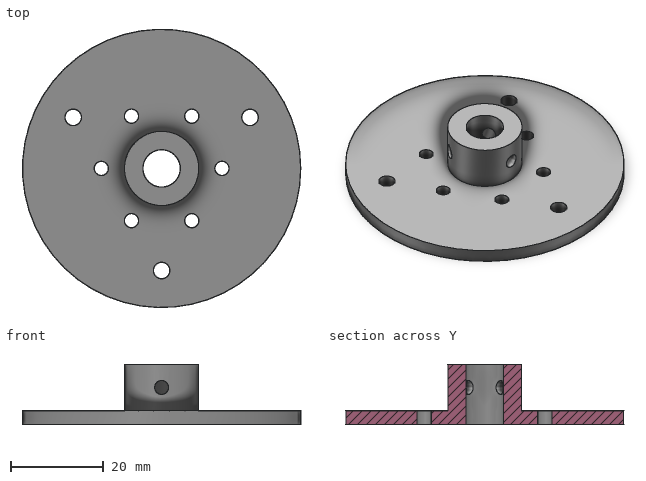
import cadquery as cq

disc_diameter = 60.0
disc_thickness = 3.0

hub_diameter = 16.0
hub_height = 10.0
bore_diameter = 8.0

inner_hole_count = 6
inner_hole_diameter = 3.0
inner_ring_radius = 13.0

outer_hole_count = 3
outer_hole_diameter = 3.5
outer_ring_radius = 22.0
outer_start_angle = 30.0

screw_hole_count = 3
screw_hole_diameter = 3.0
screw_start_angle = 30.0
screw_hole_z = disc_thickness + hub_height / 2


def make_body():
    """Disc and hub, before any holes."""
    disc = cq.Workplane("XY").circle(disc_diameter / 2).extrude(disc_thickness)
    hub = cq.Workplane("XY").circle(hub_diameter / 2).extrude(disc_thickness + hub_height)
    return disc.union(hub)


def make_bore():
    """Cutter for the bore through hub and disc."""
    return cq.Workplane("XY").circle(bore_diameter / 2).extrude(disc_thickness + hub_height)


def make_hole_ring(ring_radius, hole_diameter, hole_count, start_angle):
    """Cutters for evenly spaced holes through the disc."""
    return (
        cq.Workplane("XY")
        .polarArray(ring_radius, start_angle, 360, hole_count)
        .circle(hole_diameter / 2)
        .extrude(disc_thickness)
    )


def make_screw_hole(angle):
    """Cutter running radially outward from the hub axis at the given angle."""
    return (
        cq.Workplane("YZ")
        .center(0, screw_hole_z)
        .circle(screw_hole_diameter / 2)
        .extrude(hub_diameter / 2)
        .rotate((0, 0, 0), (0, 0, 1), angle)
    )


result = make_body().cut(make_bore())
result = result.cut(make_hole_ring(inner_ring_radius, inner_hole_diameter, inner_hole_count, 0))
result = result.cut(
    make_hole_ring(outer_ring_radius, outer_hole_diameter, outer_hole_count, outer_start_angle)
)
for index in range(screw_hole_count):
    screw_angle = screw_start_angle + index * 360 / screw_hole_count
    result = result.cut(make_screw_hole(screw_angle))